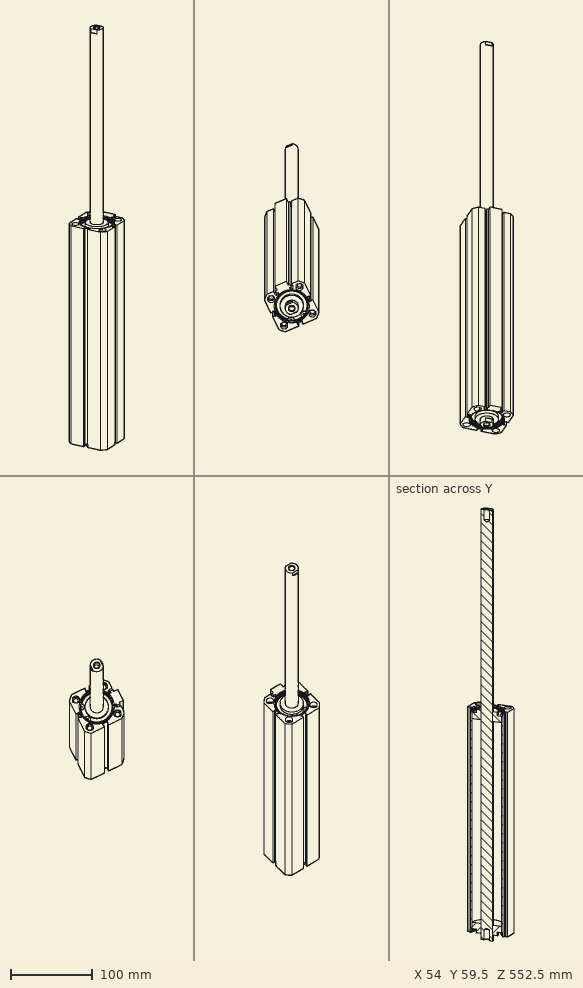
import cadquery as cq
import math


body_width = 54.0
body_length = 288.5
corner_radius = 34.5
rail_width = 15.5
rail_height = 5.5
bore_radius = 20.0
mouth_radius = 21.5
mouth_depth = 1.5

bolt_spacing = 38.0
bolt_hole_diameter = 5.5
bolt_head_diameter = 9.0
bolt_head_depth = 7.0

slot_opening = 5.5
slot_inner_width = 6.5
slot_lip = 3.0
slot_depth = 4.5

groove_opening_inner = 10.0
groove_opening_outer = 12.0
groove_lip = 4.0
groove_depth = 6.0
groove_floor_outer = 11.0

ring_depth = 3.5
ring_thickness = 1.5
ring_outer_radius = 21.0
ring_inner_radius = 19.0
ring_gap = 10.0
ear_radius = 4.0
ear_hole_diameter = 2.0
ear_x = 9.0
ear_y = -17.0

cover_length = 14.0
boss_radius = 14.5
boss_depth = 0.5

rod_diameter = 16.0
rod_top_reach = 257.0
rod_bottom_reach = 7.0
flat_width = 14.0
flat_length = 5.0
thread_diameter = 6.5
thread_mouth_diameter = 8.5
thread_depth = 13.0
drill_tip_angle = 118

half_width = body_width / 2
rod_length = rod_bottom_reach + body_length + rod_top_reach


def cylinder(radius, z_low, z_high):
    return cq.Workplane("XY").workplane(offset=z_low).circle(radius).extrude(z_high - z_low)


def at_both_ends(lower_end):
    """The shape at the lower end of the housing and its mirror image at the upper end."""
    upper_end = lower_end.mirror("XY").translate((0, 0, body_length))
    return [lower_end, upper_end]


def make_t_slot():
    """Cutter for the slot in the -Y face."""
    opening = cq.Workplane("XY").rect(slot_opening, 2 * slot_depth).extrude(body_length)
    inner_height = slot_depth - slot_lip
    inner = (
        cq.Workplane("XY")
        .center(0, slot_lip + inner_height / 2)
        .rect(slot_inner_width, inner_height)
        .extrude(body_length)
    )
    return opening.union(inner).translate((0, -half_width, 0))


def make_rail_groove():
    """Cutter for the groove on the +X side of the rail."""
    rail_side = rail_width / 2
    lip_y = half_width - groove_lip
    floor_y = half_width - groove_depth
    return (
        cq.Workplane("XY")
        .moveTo(groove_opening_inner, half_width)
        .lineTo(groove_opening_outer, half_width)
        .lineTo(groove_opening_outer, lip_y)
        .lineTo(groove_floor_outer, floor_y)
        .lineTo(rail_side, floor_y)
        .lineTo(rail_side, lip_y)
        .lineTo(groove_opening_inner, lip_y)
        .close()
        .extrude(body_length)
    )


def make_bolt_cylinders(diameter, height):
    """Four cylinders on the bolt axes, standing on the lower end face."""
    return (
        cq.Workplane("XY")
        .rect(bolt_spacing, bolt_spacing, forConstruction=True)
        .vertices()
        .circle(diameter / 2)
        .extrude(height)
    )


def make_housing():
    block = cq.Workplane("XY").rect(body_width, body_width).extrude(body_length)
    body = block.intersect(cylinder(corner_radius, 0, body_length))
    rail = (
        cq.Workplane("XY")
        .center(0, half_width)
        .rect(rail_width, 2 * rail_height)
        .extrude(body_length)
    )
    body = body.union(rail)

    body = body.cut(cylinder(bore_radius, 0, body_length))
    mouth = cylinder(mouth_radius, 0, mouth_depth)
    for cutter in at_both_ends(mouth):
        body = body.cut(cutter)
    ring_groove = cylinder(ring_outer_radius, ring_depth, ring_depth + ring_thickness)
    for cutter in at_both_ends(ring_groove):
        body = body.cut(cutter)

    body = body.cut(make_bolt_cylinders(bolt_hole_diameter, body_length))
    for cutter in at_both_ends(make_bolt_cylinders(bolt_head_diameter, bolt_head_depth)):
        body = body.cut(cutter)

    for angle in (-90, 0, 90):
        body = body.cut(make_t_slot().rotate((0, 0, 0), (0, 0, 1), angle))
    groove = make_rail_groove()
    return body.cut(groove).cut(groove.mirror("YZ"))


def make_cover():
    """Cover at the lower end: a disc behind the ring and a boss inside it."""
    disc = cylinder(bore_radius, ring_depth + ring_thickness, cover_length)
    boss = cylinder(boss_radius, boss_depth, cover_length)
    rod_hole = cylinder(rod_diameter / 2, 0, cover_length)
    return disc.union(boss).cut(rod_hole)


def make_ring():
    """Open retaining ring at the lower end, with two eared tips facing -Y."""
    z_low = ring_depth
    z_high = ring_depth + ring_thickness
    outside = cylinder(ring_outer_radius, z_low, z_high)
    ring = outside.cut(cylinder(ring_inner_radius, z_low, z_high))
    ear_places = [(-ear_x, ear_y), (ear_x, ear_y)]
    plane = cq.Workplane("XY").workplane(offset=z_low)
    ears = plane.pushPoints(ear_places).circle(ear_radius).extrude(ring_thickness)
    gap = plane.center(0, -ring_outer_radius).rect(ring_gap, ring_outer_radius).extrude(ring_thickness)
    holes = plane.pushPoints(ear_places).circle(ear_hole_diameter / 2).extrude(ring_thickness)
    return ring.union(ears).intersect(outside).cut(gap).cut(holes)


def make_rod():
    rod = cylinder(rod_diameter / 2, 0, rod_length)
    tip_height = thread_diameter / 2 / math.tan(math.radians(drill_tip_angle / 2))
    mouth_height = (thread_mouth_diameter - thread_diameter) / 2
    thread_hole = (
        cq.Workplane("XZ")
        .lineTo(thread_mouth_diameter / 2, 0)
        .lineTo(thread_diameter / 2, mouth_height)
        .lineTo(thread_diameter / 2, thread_depth)
        .lineTo(0, thread_depth + tip_height)
        .close()
        .revolve(360, (0, 0, 0), (0, 1, 0))
    )
    outside = cq.Workplane("XY").rect(rod_diameter, 2 * rod_diameter).extrude(flat_length)
    between_flats = cq.Workplane("XY").rect(rod_diameter, flat_width).extrude(flat_length)
    end_cut = outside.cut(between_flats).union(thread_hole)
    top_cut = end_cut.mirror("XY").translate((0, 0, rod_length))
    return rod.cut(end_cut).cut(top_cut).translate((0, 0, -rod_bottom_reach))


housing = make_housing()
covers = at_both_ends(make_cover())
rings = at_both_ends(make_ring())
rod = make_rod()

result = cq.Compound.makeCompound(
    [housing.val(), rod.val()]
    + [cover.val() for cover in covers]
    + [ring.val() for ring in rings]
)